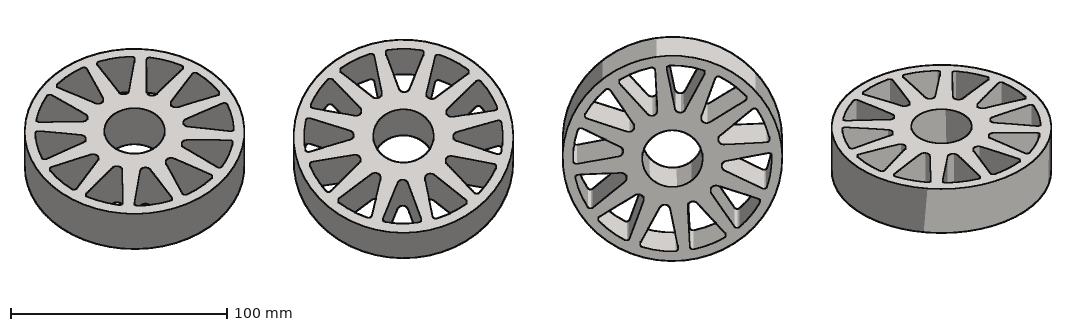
import cadquery as cq
import math

outer_diameter = 101.6
width = 25.4
bore_diameter = 27.9

hub_radius = 31.7
face_taper = 1.0

pocket_count = 12
rim_inner_radius = 45.9
pocket_apex_radius = 17.8
pocket_half_angle = 19.0
pocket_inner_fillet = 2.5
pocket_outer_fillet = 1.5


def wheel_body():
    """Bored disc, revolved about Z, with flat hub faces and conical faces out to the rim."""
    outer_radius = outer_diameter / 2
    bore_radius = bore_diameter / 2
    rim_drop = (outer_radius - hub_radius) * math.tan(math.radians(face_taper))
    half_section = [
        (bore_radius, 0),
        (hub_radius, 0),
        (outer_radius, rim_drop),
        (outer_radius, width - rim_drop),
        (hub_radius, width),
        (bore_radius, width),
    ]
    return (
        cq.Workplane("XZ")
        .polyline(half_section)
        .close()
        .revolve(360, (0, 0, 0), (0, 1, 0))
    )


def spoke_pocket():
    """Wedge along +X: straight sides from the apex to the rim arc, with rounded corners."""
    half_angle = math.radians(pocket_half_angle)
    side_length = math.sqrt(
        rim_inner_radius ** 2 - (pocket_apex_radius * math.sin(half_angle)) ** 2
    ) - pocket_apex_radius * math.cos(half_angle)
    corner_x = pocket_apex_radius + side_length * math.cos(half_angle)
    corner_y = side_length * math.sin(half_angle)

    wedge = (
        cq.Workplane("XY")
        .moveTo(pocket_apex_radius, 0)
        .lineTo(corner_x, -corner_y)
        .threePointArc((rim_inner_radius, 0), (corner_x, corner_y))
        .close()
        .extrude(width)
    )
    wedge = wedge.edges("|Z").edges("<X").fillet(pocket_inner_fillet)
    outer_corners = wedge.edges("|Z").edges(">Y or <Y")
    return outer_corners.fillet(pocket_outer_fillet)


result = wheel_body()
pocket = spoke_pocket()
for index in range(pocket_count):
    angle = index * 360 / pocket_count
    result = result.cut(pocket.rotate((0, 0, 0), (0, 0, 1), angle))